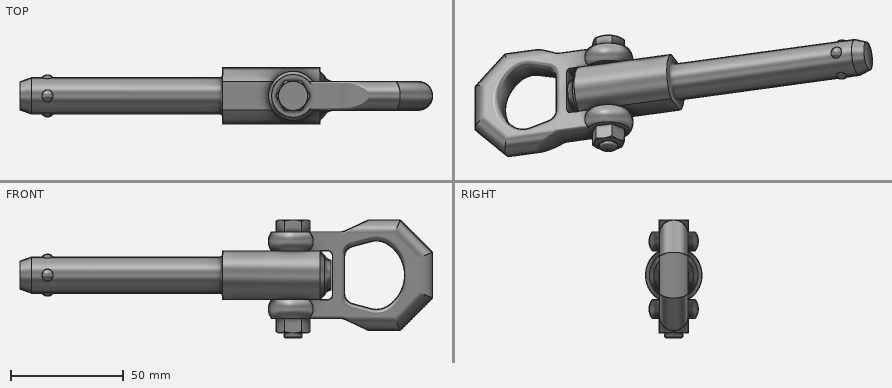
import cadquery as cq
import math


total_length = 182.9

pin_radius = 8.0
tip_radius = 6.2
tip_length = 5.1
collar_start = 89.8
collar_end = 133.0
collar_diameter = 25.0
collar_radius = collar_diameter / 2
collar_flat_height = 10.8
root_fillet = 1.3
button_end = 137.9
button_cone_length = 2.0
button_radius = 6.5
button_waist = 1.0

ball_x = 12.3
ball_radius = 3.0
ball_reach = 9.3
ball_count = 4

bolt_x = 121.0
bolt_radius = 4.0
hex_across_flats = 13.0
hex_circumradius = hex_across_flats / math.sqrt(3)
head_top = 24.5
nut_bottom = -25.6
bolt_end = -27.8
bolt_end_rounding = 1.0
hex_chamfer_angle = 30.0

thickness = 12.8
half_thickness = thickness / 2
arm_outer_height = 19.2
arm_edge_fillet = 1.0
boss_flat_radius = 9.5
boss_bulge_radius = 11.0
ring_half_height = 24.5
ring_center_x = total_length - ring_half_height
side_angles = (-90, -45, 0, 45, 90)
ramp_top_x = 154.5
ramp_angle = 25.0
ramp_fillet = 5.3
crossbar_left = 138.5
slot_corner_radius = 2.0

opening_left = 144.0
opening_center_x = 154.2
opening_radius = 16.3
opening_side_start = 11.7
opening_side_angle = 15.0
opening_corner_radius = 4.5
opening_blend_radius = 9.5
opening_edge_fillet = 2.2

pick_margin = 0.2


def make_pin_profile():
    """Half section of the pin, in the XY plane above the X axis."""
    cone_end = collar_end + button_cone_length
    cone_end_radius = collar_flat_height - button_cone_length
    flare_mid = (cone_end + button_waist, button_radius + button_waist)
    root_mid_offset = root_fillet * (1 - math.sqrt(0.5))
    return (
        cq.Workplane("XY")
        .lineTo(0, tip_radius)
        .lineTo(tip_length, pin_radius)
        .lineTo(collar_start - root_fillet, pin_radius)
        .threePointArc(
            (collar_start - root_mid_offset, pin_radius + root_mid_offset),
            (collar_start, pin_radius + root_fillet),
        )
        .lineTo(collar_start, collar_radius)
        .lineTo(collar_end, collar_radius)
        .lineTo(collar_end, collar_flat_height)
        .lineTo(cone_end, cone_end_radius)
        .threePointArc(flare_mid, (button_end, button_radius))
        .lineTo(button_end, 0)
        .close()
    )


def make_pin():
    """Shank, collar, release button and locking balls in one solid."""
    pin = make_pin_profile().revolve(360, (0, 0, 0), (1, 0, 0))

    flats = cq.Workplane("XY").box(
        2 * total_length, 2 * collar_radius, 2 * collar_flat_height
    )
    pin = pin.intersect(flats)

    for index in range(ball_count):
        ball = (
            cq.Workplane("XY")
            .sphere(ball_radius)
            .translate((ball_x, 0, ball_reach - ball_radius))
            .rotate((0, 0, 0), (1, 0, 0), index * 360 / ball_count)
        )
        pin = pin.union(ball)

    bolt_hole = (
        cq.Workplane("XY")
        .center(bolt_x, 0)
        .circle(bolt_radius)
        .extrude(collar_radius, both=True)
    )
    return pin.cut(bolt_hole)


def make_rounded_side(angle):
    """Large slab with a rounded rim; the rim is one side of the octagon, facing `angle` from +X."""
    rim_start = ring_half_height - half_thickness
    return (
        cq.Workplane("XY")
        .moveTo(-total_length, -half_thickness)
        .lineTo(rim_start, -half_thickness)
        .threePointArc((ring_half_height, 0), (rim_start, half_thickness))
        .lineTo(-total_length, half_thickness)
        .close()
        .extrude(total_length, both=True)
        .rotate((0, 0, 0), (0, 1, 0), angle)
        .translate((ring_center_x, 0, 0))
    )


def make_shackle_blank():
    """Rounded half octagon that runs back to the bolt axis at full height."""
    blank = (
        cq.Workplane("XY")
        .box(total_length, thickness, 2 * ring_half_height, centered=(False, True, True))
        .translate((bolt_x, 0, 0))
    )
    for angle in side_angles:
        blank = blank.intersect(make_rounded_side(angle))
    return blank


def make_arm_relief():
    """Block that lowers one arm to its flat height and leaves a ramp up to the ring."""
    relief_height = 2 * ring_half_height
    slope = math.tan(math.radians(ramp_angle))
    ramp_foot_x = ramp_top_x - (ring_half_height - arm_outer_height) / slope
    ramp_far_x = ramp_foot_x + (relief_height - arm_outer_height) / slope
    return (
        cq.Workplane("XZ")
        .moveTo(0, arm_outer_height)
        .lineTo(ramp_foot_x, arm_outer_height)
        .lineTo(ramp_far_x, relief_height)
        .lineTo(0, relief_height)
        .close()
        .extrude(thickness, both=True)
        .edges(cq.selectors.NearestToPointSelector((ramp_foot_x, 0, arm_outer_height)))
        .fillet(ramp_fillet)
    )


def make_slot():
    """Gap between the arms that holds the collar."""
    slot_length = crossbar_left - collar_start
    return (
        cq.Workplane("XY")
        .box(slot_length, 2 * thickness, 2 * collar_flat_height)
        .edges("|Y and >X")
        .fillet(slot_corner_radius)
        .translate((crossbar_left - slot_length / 2, 0, 0))
    )


def make_opening():
    """Prism of the finger opening: a round end with two straight sides that narrow to the crossbar."""
    slope = math.tan(math.radians(opening_side_angle))
    height_at_center = opening_side_start + slope * (opening_center_x - opening_left)
    squared_reach = opening_radius ** 2 * (1 + slope ** 2) - height_at_center ** 2
    offset_x = (math.sqrt(squared_reach) - height_at_center * slope) / (1 + slope ** 2)
    side_end = (opening_center_x + offset_x, height_at_center + slope * offset_x)
    blend_edges = cq.selectors.BoxSelector(
        (side_end[0] - pick_margin, -thickness, -ring_half_height),
        (side_end[0] + pick_margin, thickness, ring_half_height),
    )
    return (
        cq.Workplane("XZ")
        .moveTo(opening_left, -opening_side_start)
        .lineTo(opening_left, opening_side_start)
        .lineTo(*side_end)
        .threePointArc((opening_center_x + opening_radius, 0), (side_end[0], -side_end[1]))
        .close()
        .extrude(thickness, both=True)
        .edges("|Y and <X")
        .fillet(opening_corner_radius)
        .edges(blend_edges)
        .fillet(opening_blend_radius)
    )


def make_boss():
    """Ring with a bulging side around the bolt, on the +Z arm."""
    middle = (collar_flat_height + arm_outer_height) / 2
    return (
        cq.Workplane("XZ")
        .moveTo(0, collar_flat_height)
        .lineTo(boss_flat_radius, collar_flat_height)
        .threePointArc((boss_bulge_radius, middle), (boss_flat_radius, arm_outer_height))
        .lineTo(0, arm_outer_height)
        .close()
        .revolve(360, (0, 0, 0), (0, 1, 0))
        .translate((bolt_x, 0, 0))
    )


def make_hex(end_height):
    """Hexagon from an arm's outer face to |Z| = end_height, with its outer corners chamfered."""
    length = end_height - arm_outer_height
    hexagon = cq.Workplane("XY").polygon(6, 2 * hex_circumradius).extrude(length)
    inscribed = hex_across_flats / 2
    drop = (hex_circumradius - inscribed) * math.tan(math.radians(hex_chamfer_angle))
    chamfer_limit = (
        cq.Workplane("XZ")
        .lineTo(hex_circumradius, 0)
        .lineTo(hex_circumradius, length - drop)
        .lineTo(inscribed, length)
        .lineTo(0, length)
        .close()
        .revolve(360, (0, 0, 0), (0, 1, 0))
    )
    return hexagon.intersect(chamfer_limit).translate((bolt_x, 0, arm_outer_height))


def mirrored(shape):
    """The same shape on the -Z side."""
    return shape.mirror("XY")


def make_bolt():
    """Bolt shank with its head and nut."""
    bolt_tip = (
        cq.Workplane("XY", origin=(bolt_x, 0, bolt_end))
        .circle(bolt_radius)
        .extrude(nut_bottom - bolt_end)
        .edges()
        .fillet(bolt_end_rounding)
    )
    shank = (
        cq.Workplane("XY", origin=(bolt_x, 0, -arm_outer_height))
        .circle(bolt_radius)
        .extrude(2 * arm_outer_height)
    )
    nut = mirrored(make_hex(-nut_bottom))
    return shank.union(make_hex(head_top)).union(nut).union(bolt_tip)


def make_shackle():
    """Ring, crossbar and arms with the pivot bolt fixed in them."""
    shackle = make_shackle_blank()
    relief = make_arm_relief()
    shackle = shackle.cut(relief).cut(mirrored(relief))

    for side in (1, -1):
        relief_edges = cq.selectors.BoxSelector(
            (bolt_x + pick_margin, -thickness, side * (arm_outer_height - pick_margin)),
            (ramp_top_x, thickness, side * (ring_half_height - pick_margin)),
        )
        shackle = shackle.edges(relief_edges).edges("not |Y").fillet(arm_edge_fillet)

    shackle = shackle.cut(make_opening())
    opening_box = cq.selectors.BoxSelector(
        (opening_left - pick_margin, -thickness, -opening_radius),
        (opening_center_x + opening_radius + pick_margin, thickness, opening_radius),
    )
    shackle = shackle.faces("|Y").edges(opening_box).fillet(opening_edge_fillet)

    shackle = shackle.cut(make_slot())
    boss = make_boss()
    return shackle.union(boss).union(mirrored(boss)).union(make_bolt())


pin = make_pin()
shackle = make_shackle()

result = cq.Compound.makeCompound([pin.solids().val(), shackle.solids().val()])